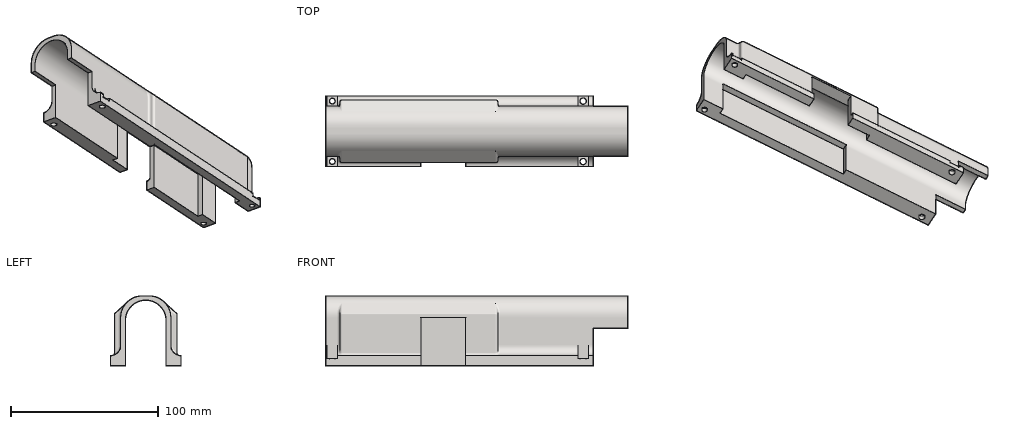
import cadquery as cq
import math

total_length = 205.0
total_width = 48.0
total_height = 47.5
foot_length = 181.6
overhang_bottom = 25.5

wall_half_width = 17.0
crown_radius = 14.8
tunnel_radius = 13.7
tunnel_center_z = 30.7
foot_height = 7.0
foot_half_width = total_width / 2
flare_radius = foot_half_width - wall_half_width
flare_top = foot_height + flare_radius
crown_flat_half = wall_half_width - crown_radius
crown_base_z = total_height - crown_radius

bulge_start = 9.6
bulge_end = 116.8
bulge_half_width = 21.3
bulge_shoulder_z = 35.3
slope_sink = 0.1
bulge_rounding = 1.6
shoulder_rounding = 1.0

recess_inset = 5.3
recess_half_width = 17.6
recess_top = crown_base_z
window_start = 64.5
window_end = 95.0
window_top = crown_base_z

seat_length = 7.0
seat_z = 5.0
hole_y = 20.5
seats = [(4.5, 3.7), (174.7, 4.0)]


def block(x_limits, y_limits, z_limits):
    """Axis-aligned box given by its lower and upper limits."""
    corners = list(zip(x_limits, y_limits, z_limits))
    sizes = [high - low for low, high in zip(*corners)]
    return cq.Workplane("XY").box(*sizes, centered=False).translate(corners[0])


def with_mirror(half):
    """The given +Y half joined with its mirror image."""
    return half.union(half.mirror("XZ"))


def arch_half():
    """Solid +Y half of the arch: foot, flare, side wall and crown."""
    diagonal = math.sqrt(0.5)
    flare_middle = (foot_half_width - flare_radius * diagonal, flare_top - flare_radius * diagonal)
    crown_middle = (crown_flat_half + crown_radius * diagonal, crown_base_z + crown_radius * diagonal)
    return (
        cq.Workplane("YZ")
        .lineTo(foot_half_width, 0)
        .lineTo(foot_half_width, foot_height)
        .threePointArc(flare_middle, (wall_half_width, flare_top))
        .lineTo(wall_half_width, crown_base_z)
        .threePointArc(crown_middle, (crown_flat_half, total_height))
        .lineTo(0, total_height)
        .close()
        .extrude(total_length)
    )


def slope_end():
    """Point (Y, Z) where the bulge slope, drawn from the shoulder, skims the crown rounding."""
    skim_radius = crown_radius - slope_sink
    shoulder_y = bulge_half_width - crown_flat_half
    shoulder_z = bulge_shoulder_z - crown_base_z
    shoulder_distance = math.hypot(shoulder_y, shoulder_z)
    angle = math.atan2(shoulder_z, shoulder_y) + math.acos(skim_radius / shoulder_distance)
    return (crown_flat_half + skim_radius * math.cos(angle), crown_base_z + skim_radius * math.sin(angle))


def bulge():
    """Bulge on the +Y wall with rounded ends and shoulder."""
    end_y, end_z = slope_end()
    solid = (
        cq.Workplane("YZ", origin=(bulge_start, 0, 0))
        .lineTo(bulge_half_width, 0)
        .lineTo(bulge_half_width, bulge_shoulder_z)
        .lineTo(end_y, end_z)
        .lineTo(0, end_z)
        .close()
        .extrude(bulge_end - bulge_start)
    )
    shoulder_edge = solid.faces(">Y").edges(">Z")
    solid = shoulder_edge.fillet(shoulder_rounding)
    outer_side = cq.selectors.BoxSelector((0, end_y, foot_height), (total_length, foot_half_width, end_z))
    end_edges = solid.faces("<X or >X").edges(outer_side)
    return end_edges.fillet(bulge_rounding)


def arch_with_bulges():
    """Both halves of the arch, with the root of each bulge blended into wall and foot."""
    half = arch_half().union(bulge())
    bulge_face_point = ((bulge_start + bulge_end) / 2, bulge_half_width, crown_base_z / 2)
    bulge_face = half.faces(cq.selectors.NearestToPointSelector(bulge_face_point))
    root_edge = bulge_face.edges("<Z")
    return with_mirror(root_edge.fillet(bulge_rounding))


def tunnel():
    """Half-round passage along the whole length, open at the bottom."""
    ceiling = cq.Workplane("YZ").center(0, tunnel_center_z).circle(tunnel_radius).extrude(total_length)
    return ceiling.union(
        block((0, total_length), (-tunnel_radius, tunnel_radius), (0, tunnel_center_z))
    )


def recess():
    """Widening of the tunnel between the bulge walls."""
    return block(
        (bulge_start + recess_inset, bulge_end - recess_inset),
        (-recess_half_width, recess_half_width),
        (0, recess_top),
    )


def window():
    """Opening through the -Y wall and foot."""
    return block((window_start, window_end), (-foot_half_width, 0), (0, window_top))


def overhang():
    """Space under the +X end, beyond the feet."""
    return block(
        (foot_length, total_length), (-foot_half_width, foot_half_width), (0, overhang_bottom)
    )


def screw_seats():
    """Flat seats cut into both flares, each with a through hole."""
    cuts = cq.Workplane("XY")
    for center_x, hole_diameter in seats:
        seat = block(
            (center_x - seat_length / 2, center_x + seat_length / 2),
            (wall_half_width, foot_half_width),
            (seat_z, flare_top),
        )
        hole = cq.Workplane("XY").center(center_x, hole_y).circle(hole_diameter / 2).extrude(flare_top)
        cuts = cuts.add(seat.union(hole))
    return with_mirror(cuts.combine())


result = (
    arch_with_bulges()
    .cut(tunnel())
    .cut(recess())
    .cut(window())
    .cut(overhang())
    .cut(screw_seats())
)